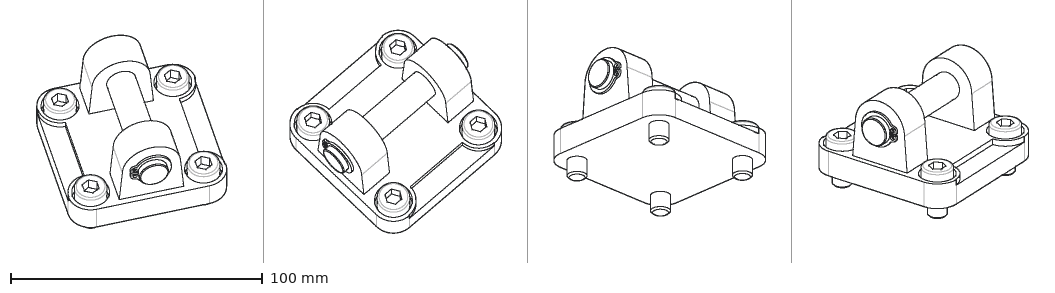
import cadquery as cq
import math

plate_side = 65.0
plate_thickness = 11.0
screw_spacing = 46.5
corner_radius = (plate_side - screw_spacing) / 2
screw_offset = screw_spacing / 2
step_depth = 2.5
step_width = 9.0
screw_boss_diameter = 18.0

pin_height = 27.0
ear_gap = 32.0
ear_outer_span = 60.0
ear_top_radius = 12.0
ear_foot_width = 26.6

pin_diameter = 12.0
pin_length = 68.5
pin_chamfer = 0.4
groove_diameter = 11.5

ring_outer_diameter = 15.0
ring_eccentricity = 0.35
ring_thickness = 1.0
ring_outer_face = 31.5
ring_gap = 1.0
lug_reach = 9.0
lug_half_height = 3.35
lug_corner_radius = 1.9
lug_blend_radius = 1.5
lug_hole_diameter = 1.7
lug_hole_reach = 7.15
lug_hole_spacing = 3.4

counterbore_diameter = 15.0
head_diameter = 13.0
head_height = 8.0
head_projection = 3.5
head_rounding = 0.8
shank_diameter = 8.0
shank_projection = 7.5
shank_chamfer = 0.8
socket_across_flats = 6.0
socket_depth = 4.5
socket_cone_angle = 120.0

head_top = plate_thickness + head_projection
head_bottom = head_top - head_height
screw_points = [(x, y) for x in (-screw_offset, screw_offset) for y in (-screw_offset, screw_offset)]


def x_cylinder(diameter, x_start, x_end, y=0.0, z=pin_height):
    """Cylinder along X between two X positions."""
    return (
        cq.Workplane("YZ", origin=(x_start, y, z))
        .circle(diameter / 2)
        .extrude(x_end - x_start)
    )


def make_plate():
    """Rounded square plate, lowered along both Y edges except around the screws."""
    plate = (
        cq.Workplane("XY")
        .rect(plate_side, plate_side)
        .extrude(plate_thickness)
        .edges("|Z")
        .fillet(corner_radius)
    )
    step_floor = plate_thickness - step_depth
    steps = (
        cq.Workplane("XY", origin=(0, 0, step_floor))
        .pushPoints([(0, side * (plate_side - step_width) / 2) for side in (-1, 1)])
        .rect(screw_spacing, step_width)
        .extrude(step_depth)
    )
    bosses = (
        cq.Workplane("XY", origin=(0, 0, step_floor))
        .pushPoints(screw_points)
        .circle(screw_boss_diameter / 2)
        .extrude(step_depth)
    )
    counterbores = (
        cq.Workplane("XY", origin=(0, 0, head_bottom))
        .pushPoints(screw_points)
        .circle(counterbore_diameter / 2)
        .extrude(plate_thickness - head_bottom)
    )
    return plate.cut(steps.cut(bosses)).cut(counterbores)


def make_ear(side):
    """Tapered ear with a half-round top; side is -1 or +1 along X."""
    ear_thickness = (ear_outer_span - ear_gap) / 2
    ear_centre = side * (ear_gap + ear_thickness) / 2
    return (
        cq.Workplane("YZ", origin=(ear_centre, 0, 0))
        .moveTo(-ear_foot_width / 2, plate_thickness)
        .lineTo(ear_foot_width / 2, plate_thickness)
        .lineTo(ear_top_radius, pin_height)
        .threePointArc((0, pin_height + ear_top_radius), (-ear_top_radius, pin_height))
        .close()
        .extrude(ear_thickness / 2, both=True)
    )


def make_pin():
    """Chamfered pin with a groove from each ear face to the outside of its ring."""
    pin = x_cylinder(pin_diameter, -pin_length / 2, pin_length / 2)
    pin = pin.faces("<X or >X").chamfer(pin_chamfer)
    for side in (-1, 1):
        groove_ends = (side * ear_outer_span / 2, side * ring_outer_face)
        groove = x_cylinder(pin_diameter, *groove_ends).cut(x_cylinder(groove_diameter, *groove_ends))
        pin = pin.cut(groove)
    return pin


def make_ring(side):
    """Eccentric retaining ring whose two drilled lugs point toward -Y."""
    ring_ends = sorted((side * ring_outer_face, side * (ring_outer_face - ring_thickness)))
    x_start = ring_ends[0]
    lugs = (
        cq.Workplane("YZ", origin=(x_start, -lug_reach / 2, pin_height))
        .rect(lug_reach, 2 * lug_half_height)
        .extrude(ring_thickness)
        .edges("|X and <Y")
        .fillet(lug_corner_radius)
    )
    ring = x_cylinder(ring_outer_diameter, *ring_ends, y=ring_eccentricity).union(lugs)

    corner_y = ring_eccentricity - math.sqrt((ring_outer_diameter / 2) ** 2 - lug_half_height ** 2)
    for end in (-1, 1):
        corner = (x_start + ring_thickness / 2, corner_y, pin_height + end * lug_half_height)
        ring = ring.edges("|X").edges(cq.selectors.NearestToPointSelector(corner)).fillet(lug_blend_radius)
        ring = ring.cut(
            x_cylinder(
                lug_hole_diameter,
                *ring_ends,
                y=-lug_hole_reach,
                z=pin_height + end * lug_hole_spacing / 2,
            )
        )

    opening = (
        cq.Workplane("YZ", origin=(x_start, -lug_reach / 2, pin_height))
        .rect(lug_reach, ring_gap)
        .extrude(ring_thickness)
    )
    return ring.cut(x_cylinder(groove_diameter, *ring_ends)).cut(opening)


def make_screw(x, y):
    """Socket head screw whose hexagon socket ends in a cone."""
    head = (
        cq.Workplane("XY", origin=(x, y, head_bottom))
        .circle(head_diameter / 2)
        .extrude(head_height)
        .faces(">Z")
        .edges()
        .fillet(head_rounding)
    )
    shank = (
        cq.Workplane("XY", origin=(x, y, -shank_projection))
        .circle(shank_diameter / 2)
        .extrude(shank_projection + head_bottom)
        .faces("<Z")
        .chamfer(shank_chamfer)
    )

    socket_radius = socket_across_flats / 2 / math.cos(math.pi / 6)
    cone_height = socket_radius / math.tan(math.radians(socket_cone_angle / 2))
    socket_tip = socket_depth + cone_height
    plug = (
        cq.Workplane("XZ")
        .lineTo(socket_radius, 0)
        .lineTo(socket_radius, -socket_depth)
        .lineTo(0, -socket_tip)
        .close()
        .revolve(360, (0, 0, 0), (0, 1, 0))
    )
    hexagon = cq.Workplane("XY").polygon(6, 2 * socket_radius).extrude(-socket_tip)
    socket = plug.intersect(hexagon).translate((x, y, head_top))
    return head.union(shank).cut(socket)


result = make_plate().union(make_pin())
for x_side in (-1, 1):
    result = result.union(make_ear(x_side)).union(make_ring(x_side))
for screw_x, screw_y in screw_points:
    result = result.union(make_screw(screw_x, screw_y))